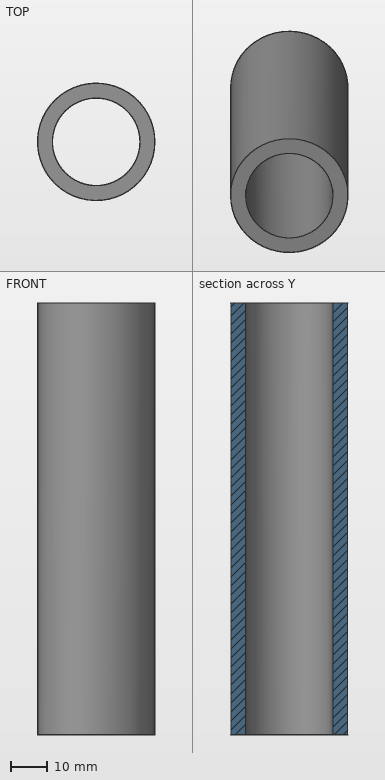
import cadquery as cq

length = 120.0
outer_diameter = 32.6
wall_thickness = 4.2
bore_diameter = outer_diameter - 2 * wall_thickness

result = (
    cq.Workplane("XY")
    .circle(outer_diameter / 2)
    .circle(bore_diameter / 2)
    .extrude(length)
)